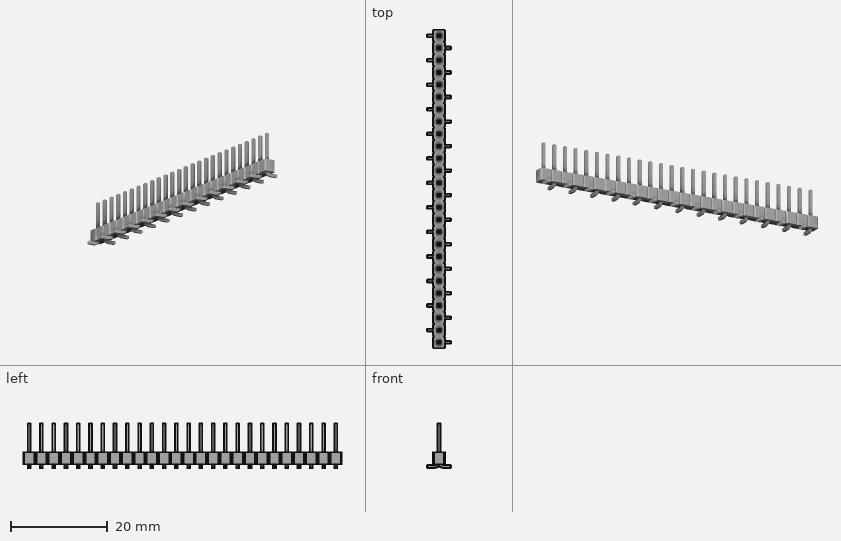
import cadquery as cq

pin_count = 26
body_length = 66.05
leg_span = 5.0
total_height = 9.3

pitch = body_length / pin_count
body_width = pitch
body_height = pitch
corner_chamfer = 0.25
exposed_pin_length = 6.0
body_bottom = total_height - exposed_pin_length - body_height

wire_size = 0.64
inner_bend_radius = 0.6
tip_chamfer = 0.15
leg_axis_height = wire_size / 2
bend_axis_radius = inner_bend_radius + wire_size / 2


def make_housing_segment():
    """One pitch of the housing, with chamfered vertical corners."""
    return (
        cq.Workplane("XY")
        .box(body_width, pitch, body_height, centered=(True, True, False))
        .edges("|Z")
        .chamfer(corner_chamfer)
        .translate((0, 0, body_bottom))
    )


def make_pin():
    """Upright pin with its leg bent towards +X and both tips tapered."""
    centre_line = (
        cq.Workplane("XZ")
        .moveTo(0, total_height)
        .lineTo(0, leg_axis_height + bend_axis_radius)
        .radiusArc((bend_axis_radius, leg_axis_height), -bend_axis_radius)
        .lineTo(leg_span / 2, leg_axis_height)
    )
    wire = (
        cq.Workplane("XY", origin=(0, 0, total_height))
        .rect(wire_size, wire_size)
        .sweep(centre_line)
    )
    return wire.faces(">Z or >X").chamfer(tip_chamfer)


segment = make_housing_segment()
right_pin = make_pin()
left_pin = right_pin.rotate((0, 0, 0), (0, 0, 1), 180)

parts = []
for index in range(pin_count):
    pin = right_pin if index % 2 == 0 else left_pin
    pin_position = (0, (index + 0.5) * pitch - body_length / 2, 0)
    parts.append(segment.translate(pin_position).val())
    parts.append(pin.translate(pin_position).val())

header = parts[0].fuse(*parts[1:]).clean()
result = cq.Workplane(header.Solids()[0])